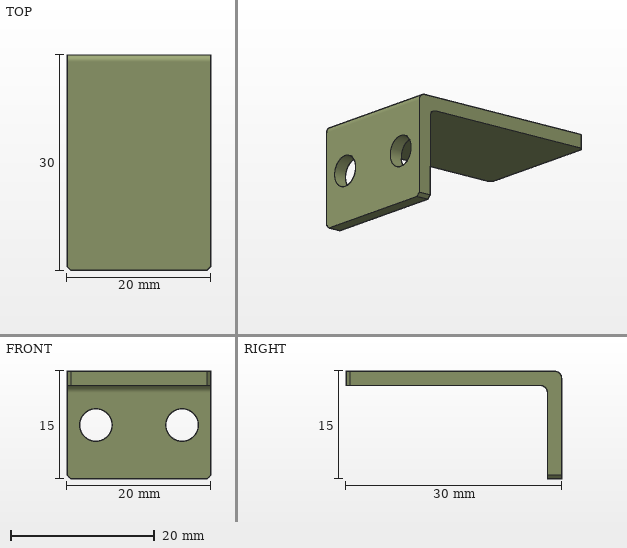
import cadquery as cq

width = 20.0
length = 30.0
height = 15.0
thickness = 2.0
bend_radius = 1.0
corner_chamfer = 0.5
hole_diameter = 4.5
hole_spacing = 12.0
hole_height = height / 2


def bracket_body():
    """L-shaped plate: a horizontal leg along Y with a downward leg at +Y."""
    inner_y = length - thickness
    inner_z = height - thickness
    profile = (
        cq.Workplane("YZ")
        .polyline([
            (0, height),
            (length, height),
            (length, 0),
            (inner_y, 0),
            (inner_y, inner_z),
            (0, inner_z),
        ])
        .close()
    )
    return profile.extrude(width / 2, both=True)


def round_bend(body):
    """Round the outer and inner edges of the bend."""
    outer_edge = body.edges("|X").edges(">Y").edges(">Z")
    inner_edge = body.edges(
        cq.selectors.NearestToPointSelector((0, length - thickness, height - thickness))
    )
    return body.newObject(outer_edge.vals() + inner_edge.vals()).fillet(bend_radius)


def chamfer_free_corners(body):
    """Break the two corners at the free end of each leg."""
    body = body.faces("<Y").edges("|Z").chamfer(corner_chamfer)
    return body.faces("<Z").edges("|Y").chamfer(corner_chamfer)


def mounting_holes():
    """Two cylinders passing through the vertical leg."""
    return (
        cq.Workplane("XZ", origin=(0, length, hole_height))
        .rarray(hole_spacing, 0.3, 2, 1)
        .circle(hole_diameter / 2)
        .extrude(thickness)
    )


result = chamfer_free_corners(round_bend(bracket_body())).cut(mounting_holes())